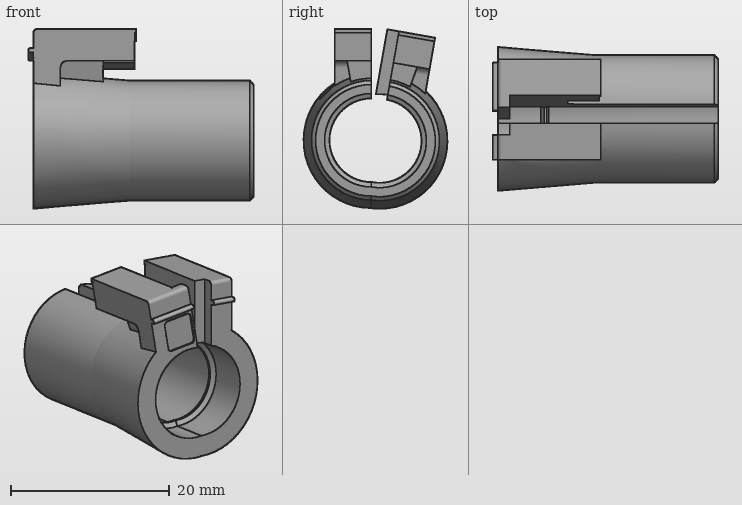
import cadquery as cq
import math


length = 27.75
flare_length = 12.18
flare_radius = 8.55
tube_radius = 7.53
end_chamfer = 0.5
bore_radius = 5.88

ridge_radius = 5.25
ridge_start = 5.42
ridge_front_slope = 0.4
ridge_crest = 0.3
ridge_rear_slope = 0.25

opening_angle = 10.0
hinge_depth = 6.05

arm_height = 14.03
arm_width = 4.63
arm_length = 12.75
leg_length = 3.4
overhang_height = 10.0
inner_corner_radius = 0.85
front_edge_radius = 0.48
web_base_width = 2.39
web_base_height = 6.25
web_length = 8.78
web_draft = 10.0
lip_depth = 0.17
lip_height = 0.48

rib_height = 0.57
rib_reach = 0.65
rib_base = 11.05
tab_size = 1.5
recess_side = 4.0
recess_depth = 0.2
recess_corner_radius = 0.48
recess_y = 0.77
recess_z = 8.52

reach = 2 * length


def block(x_range, y_range, z_range):
    """Box given by its limits along each axis."""
    limits = (x_range, y_range, z_range)
    sizes = [high - low for low, high in limits]
    corner = tuple(low for low, high in limits)
    return cq.Workplane("XY").box(*sizes, centered=False).translate(corner)


def revolved(profile):
    """Solid of revolution about X from (x, radius) points that end on the axis."""
    return cq.Workplane("XY").polyline(profile).close().revolve(360, (0, 0, 0), (1, 0, 0))


def sleeve():
    return revolved([
        (0, 0),
        (0, flare_radius),
        (flare_length, tube_radius),
        (length - end_chamfer, tube_radius),
        (length, tube_radius - end_chamfer),
        (length, 0),
    ])


def bore():
    crest_start = ridge_start + ridge_front_slope
    crest_end = crest_start + ridge_crest
    return revolved([
        (0, 0),
        (0, bore_radius),
        (ridge_start, bore_radius),
        (crest_start, ridge_radius),
        (crest_end, ridge_radius),
        (crest_end + ridge_rear_slope, bore_radius),
        (length, bore_radius),
        (length, 0),
    ])


def arm(y_low):
    """L-shaped arm with a front leg, a rear overhang and a small lip at the top rear edge."""
    lip_x = arm_length + lip_depth
    lip_z = arm_height - lip_height
    side = (
        cq.Workplane("XZ")
        .moveTo(0, 0)
        .lineTo(0, arm_height - front_edge_radius)
        .radiusArc((front_edge_radius, arm_height), front_edge_radius)
        .lineTo(lip_x, arm_height)
        .lineTo(lip_x, lip_z)
        .lineTo(arm_length, lip_z)
        .lineTo(arm_length, overhang_height)
        .lineTo(leg_length + inner_corner_radius, overhang_height)
        .radiusArc((leg_length, overhang_height - inner_corner_radius), -inner_corner_radius)
        .lineTo(leg_length, 0)
        .close()
    )
    return side.extrude(-(arm_width - y_low)).translate((0, y_low, 0))


def web():
    """Wall joining the overhang to the sleeve, widening upwards on its outer side."""
    top_width = web_base_width + (overhang_height - web_base_height) * math.tan(math.radians(web_draft))
    section = [
        (0, web_base_height),
        (web_base_width, web_base_height),
        (top_width, overhang_height),
        (0, overhang_height),
    ]
    return cq.Workplane("YZ").polyline(section).close().extrude(web_length)


def front_rib(y_low):
    """Round-nosed rib across the front face of an arm."""
    nose = rib_height / 2
    profile = (
        cq.Workplane("XZ")
        .moveTo(front_edge_radius, rib_base)
        .lineTo(nose - rib_reach, rib_base)
        .radiusArc((-rib_reach, rib_base + nose), nose)
        .radiusArc((nose - rib_reach, rib_base + rib_height), nose)
        .lineTo(front_edge_radius, rib_base + rib_height)
        .close()
    )
    return profile.extrude(-(arm_width - y_low)).translate((0, y_low, 0))


def split_sleeve():
    """Sleeve with one arm and web, open above the axis on the -Y side of the split face."""
    open_side = block((-reach, reach), (-reach, 0), (0, reach))
    return sleeve().cut(open_side).union(arm(0)).union(web()).cut(bore())


def upright_half():
    """Half shell on the -Y side, notched at the front to receive the tab."""
    notch = block((0, tab_size), (0, tab_size), (0, arm_height))
    half = split_sleeve().cut(notch).union(front_rib(tab_size))
    half = half.cut(block((-reach, reach), (-reach, 0), (-reach, reach)))
    return half.mirror("XZ")


def opened_half():
    """Half shell on the +Y side, with tab and marking recess, swung open about the hinge line."""
    tab = arm(-tab_size).intersect(block((0, tab_size), (-tab_size, arm_width), (0, arm_height)))
    recess = (
        block(
            (0, recess_depth),
            (recess_y - recess_side / 2, recess_y + recess_side / 2),
            (recess_z - recess_side / 2, recess_z + recess_side / 2),
        )
        .edges("|X")
        .fillet(recess_corner_radius)
    )
    half = split_sleeve().union(tab.cut(bore())).union(front_rib(-tab_size)).cut(recess)
    half = half.rotate((0, 0, -hinge_depth), (1, 0, -hinge_depth), -opening_angle)
    return half.cut(block((-reach, reach), (-reach, 0), (-reach, reach)))


result = upright_half().union(opened_half())